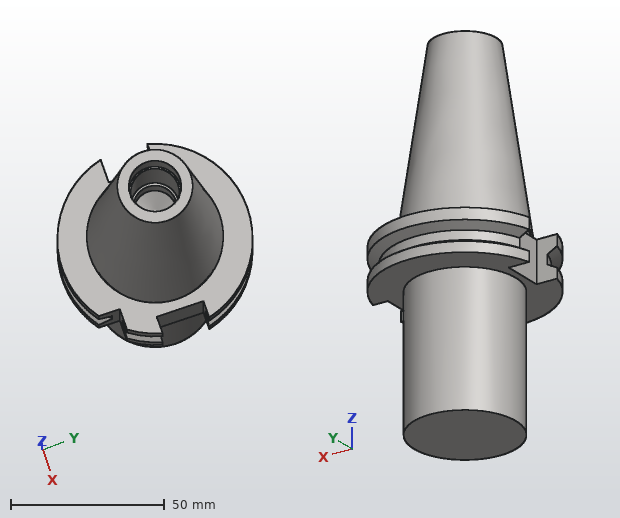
import cadquery as cq
import math

total_height = 138.4
taper_length = 68.4
neck_height = 3.2
flange_height = 15.9
gauge_z = total_height - taper_length
flange_top_z = gauge_z - neck_height
flange_bottom_z = flange_top_z - flange_height

shank_diameter = 40.0
flange_diameter = 63.5
neck_diameter = 43.0
gauge_diameter = 44.4
taper_ratio = 7 / 24
taper_top_diameter = gauge_diameter - taper_length * taper_ratio

groove_floor_diameter = 56.2
groove_flank_angle = 30.0
upper_rim_height = 4.3
lower_rim_height = 3.9
flank_height = (flange_diameter - groove_floor_diameter) / 2 * math.tan(math.radians(groove_flank_angle))
groove_top_z = flange_top_z - upper_rim_height
groove_bottom_z = flange_bottom_z + lower_rim_height

slot_width = 16.0
left_slot_floor = 22.7
right_slot_floor = 24.9
notch_corner = 18.5

pilot_diameter = 17.0
pilot_depth = 8.2
step_diameter = 15.8
step_depth = 27.7
bore_diameter = 14.0
bore_depth = 34.6
drill_point_angle = 118.0
drill_point_depth = bore_diameter / 2 / math.tan(math.radians(drill_point_angle / 2))


def revolve_profile(points):
    """Turn a closed (radius, height) profile about the Z axis."""
    return cq.Workplane("XZ").polyline(points).close().revolve(360, (0, 0, 0), (0, 1, 0))


def flange_cut(x_min, x_max, y_min, y_max):
    """Make a block of full flange height for cutting through the flange."""
    return (
        cq.Workplane("XY", origin=(0, 0, flange_bottom_z))
        .center((x_min + x_max) / 2, (y_min + y_max) / 2)
        .rect(x_max - x_min, y_max - y_min)
        .extrude(flange_height)
    )


def make_body():
    """Turn the shank, grooved flange, neck and taper in one profile."""
    return revolve_profile([
        (0, 0),
        (shank_diameter / 2, 0),
        (shank_diameter / 2, flange_bottom_z),
        (flange_diameter / 2, flange_bottom_z),
        (flange_diameter / 2, groove_bottom_z),
        (groove_floor_diameter / 2, groove_bottom_z + flank_height),
        (groove_floor_diameter / 2, groove_top_z - flank_height),
        (flange_diameter / 2, groove_top_z),
        (flange_diameter / 2, flange_top_z),
        (neck_diameter / 2, flange_top_z),
        (neck_diameter / 2, gauge_z),
        (gauge_diameter / 2, gauge_z),
        (taper_top_diameter / 2, total_height),
        (0, total_height),
    ])


def make_bore():
    """Turn the stepped bore with its conical drill point."""
    return revolve_profile([
        (0, total_height),
        (pilot_diameter / 2, total_height),
        (pilot_diameter / 2, total_height - pilot_depth),
        (step_diameter / 2, total_height - pilot_depth),
        (step_diameter / 2, total_height - step_depth),
        (bore_diameter / 2, total_height - step_depth),
        (bore_diameter / 2, total_height - bore_depth),
        (0, total_height - bore_depth - drill_point_depth),
    ])


left_slot = flange_cut(-flange_diameter, -left_slot_floor, -slot_width / 2, slot_width / 2)
right_slot = flange_cut(right_slot_floor, flange_diameter, -slot_width / 2, slot_width / 2)
notch = flange_cut(notch_corner, flange_diameter, -flange_diameter, -notch_corner)

result = make_body().cut(make_bore()).cut(left_slot).cut(right_slot).cut(notch)